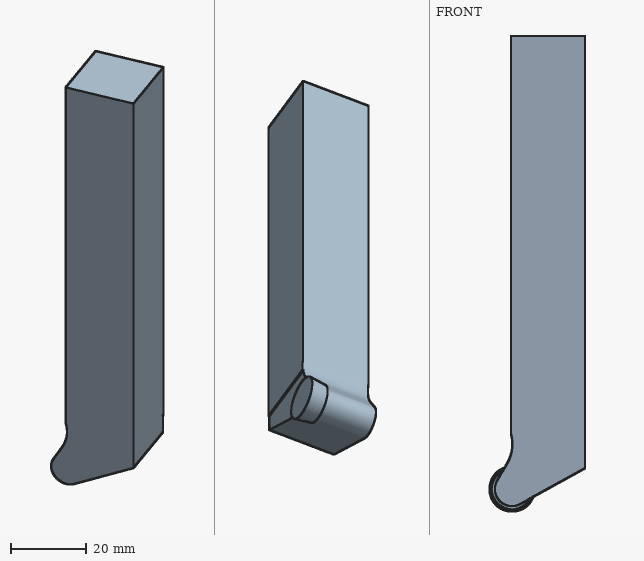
import cadquery as cq
import math

LENGTH = 126.4
SHANK_WIDTH = 19.7
SHANK_DEPTH = 19.7

INSERT_DIAMETER = 12.0
INSERT_THICKNESS = 4.9
INSERT_RELIEF_ANGLE = 7.0
INSERT_PROUD = 0.3
INSERT_OVERHANG = 5.7

NOSE_RADIUS = 4.5
NECK_ANGLE = 60.0
NECK_STRAIGHT = 5.3
NECK_FILLET_RADIUS = 10.1
HEEL_HEIGHT = 11.5

RELIEF_DEPTH = 0.3
RELIEF_TOP = 16.7

insert_radius = INSERT_DIAMETER / 2
insert_x = insert_radius - INSERT_OVERHANG
insert_z = insert_radius
insert_face_y = SHANK_DEPTH + INSERT_PROUD


def polar(center, radius, degrees):
    """Point at the given radius and angle from a center in the XZ plane."""
    angle = math.radians(degrees)
    return (center[0] + radius * math.cos(angle), center[1] + radius * math.sin(angle))


def extrude_y(sketch, depth):
    """Extrude an XZ sketch toward +Y (the XZ plane's normal is -Y)."""
    return sketch.extrude(-depth)


def make_insert():
    """Tapered disc with its wide face toward +Y."""
    return (
        cq.Workplane("XZ", origin=(insert_x, insert_face_y, insert_z))
        .circle(insert_radius)
        .extrude(INSERT_THICKNESS, taper=INSERT_RELIEF_ANGLE)
    )


def make_shank_blank():
    """Square shank with a hooked nose: all nose lines are tangent to its arcs."""
    nose_center = (insert_x, insert_z)
    heel = (SHANK_WIDTH, HEEL_HEIGHT)

    heel_run = heel[0] - nose_center[0]
    heel_rise = heel[1] - nose_center[1]
    heel_distance = math.hypot(heel_run, heel_rise)
    heel_bearing = math.degrees(math.atan2(heel_rise, heel_run))
    tangent_angle = heel_bearing - math.degrees(math.acos(NOSE_RADIUS / heel_distance))
    nose_low = polar(nose_center, NOSE_RADIUS, tangent_angle)

    flank_normal = NECK_ANGLE + 90
    nose_high = polar(nose_center, NOSE_RADIUS, flank_normal)
    nose_mid = polar(nose_center, NOSE_RADIUS, (flank_normal + tangent_angle + 360) / 2)
    fillet_low = polar(nose_high, NECK_STRAIGHT, NECK_ANGLE)
    fillet_center = polar(fillet_low, NECK_FILLET_RADIUS, flank_normal)
    fillet_mid = polar(fillet_center, NECK_FILLET_RADIUS, 0)
    fillet_top = (0, fillet_center[1] + math.sqrt(NECK_FILLET_RADIUS**2 - fillet_center[0] ** 2))

    outline = (
        cq.Workplane("XZ")
        .moveTo(0, LENGTH)
        .lineTo(SHANK_WIDTH, LENGTH)
        .lineTo(*heel)
        .lineTo(*nose_low)
        .threePointArc(nose_mid, nose_high)
        .lineTo(*fillet_low)
        .threePointArc(fillet_mid, fillet_top)
        .close()
    )
    return extrude_y(outline, SHANK_DEPTH)


def make_face_relief():
    """Slab that lowers the +Y face around the insert, below RELIEF_TOP."""
    return cq.Workplane("XY").box(
        INSERT_OVERHANG + SHANK_WIDTH, RELIEF_DEPTH, RELIEF_TOP, centered=False
    ).translate((-INSERT_OVERHANG, SHANK_DEPTH - RELIEF_DEPTH, 0))


insert = make_insert()
shank = make_shank_blank().cut(make_face_relief()).cut(insert)

result = cq.Compound.makeCompound([shank.val(), insert.val()])